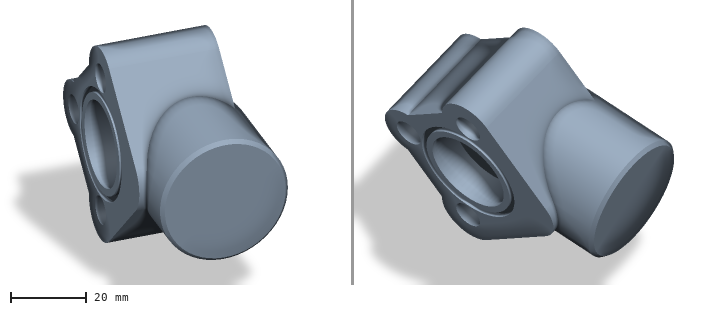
import cadquery as cq
import math

flange_thickness = 31.0
bolt_offset = 20.0
bolt_diameter = 8.0
side_lug_radius = 8.0
left_side_distance = 20.0
corner_radius = 8.8

bore_diameter = 24.0
bore_depth = 9.5
groove_inner_diameter = 28.0
groove_outer_diameter = 31.2
groove_depth = 1.5

overall_length = 68.0
pipe_diameter = 36.05
pipe_axis_y = 20.0
pipe_start_x = 8.0
pipe_end_x = overall_length - bolt_offset - side_lug_radius
inner_end_chamfer = 4.0
outer_end_chamfer = 1.0

nose_base_radius = 11.7
nose_tip_radius = 11.0
nose_length = 2.6


def front_cylinder(x, z, radius, depth):
    """Cylinder from the front face (Y = 0) towards +Y."""
    return cq.Workplane("XZ").center(x, z).circle(radius).extrude(-depth)


def make_flange():
    lug_centers = [(0, bolt_offset), (0, -bolt_offset), (bolt_offset, 0)]
    tangent = corner_radius * math.sqrt(0.5)

    foot = left_side_distance * math.sqrt(0.5) - bolt_offset / 2

    outline = [
        (-bolt_offset - foot, foot),
        (-foot, bolt_offset + foot),
        (0, bolt_offset),
        (tangent, bolt_offset + tangent),
        (bolt_offset + tangent, tangent),
        (bolt_offset, 0),
        (bolt_offset + tangent, -tangent),
        (tangent, -bolt_offset - tangent),
        (0, -bolt_offset),
        (-foot, -bolt_offset - foot),
        (-bolt_offset - foot, -foot),
    ]
    flange = cq.Workplane("XZ").polyline(outline).close().extrude(-flange_thickness)
    for x, z in lug_centers:
        flange = flange.union(front_cylinder(x, z, corner_radius, flange_thickness))
    return flange.union(front_cylinder(-bolt_offset, 0, side_lug_radius, flange_thickness))


def make_pipe():
    pipe = (
        cq.Workplane("YZ", origin=(pipe_start_x, pipe_axis_y, 0))
        .circle(pipe_diameter / 2)
        .extrude(pipe_end_x - pipe_start_x)
    )
    pipe = pipe.faces("<X").chamfer(inner_end_chamfer)
    return pipe.faces(">X").chamfer(outer_end_chamfer)


def make_nose():
    return (
        cq.Workplane("YZ", origin=(pipe_start_x, pipe_axis_y, 0))
        .circle(nose_base_radius)
        .workplane(offset=-nose_length)
        .circle(nose_tip_radius)
        .loft()
    )


def make_groove():
    outer = front_cylinder(0, 0, groove_outer_diameter / 2, groove_depth)
    return outer.cut(front_cylinder(0, 0, groove_inner_diameter / 2, groove_depth))


result = make_flange().union(make_pipe()).union(make_nose())
result = result.cut(front_cylinder(0, 0, bore_diameter / 2, bore_depth))
result = result.cut(make_groove())
for bolt_x, bolt_z in [(-bolt_offset, 0), (0, bolt_offset), (0, -bolt_offset)]:
    result = result.cut(front_cylinder(bolt_x, bolt_z, bolt_diameter / 2, flange_thickness))